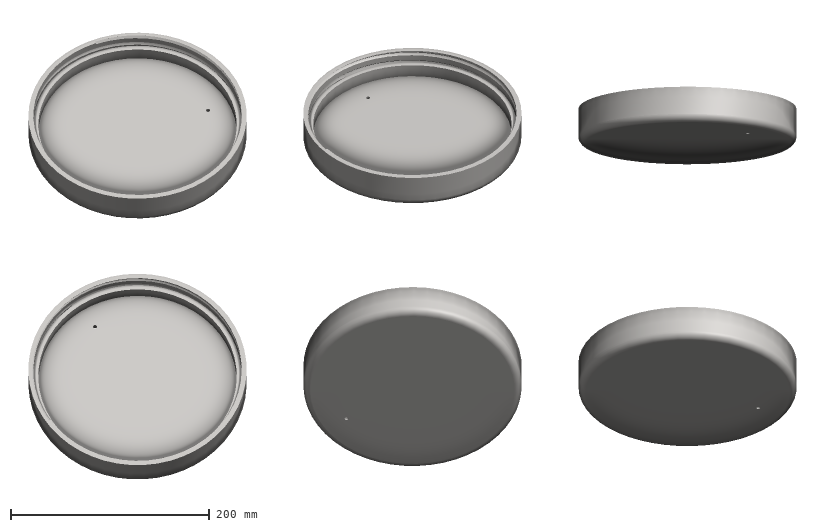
import cadquery as cq

outer_radius = 110.0
height = 35.0
base_edge_radius = 7.0

upper_bore_radius = 105.0
upper_bore_depth = 14.4
lower_bore_radius = 100.0
floor_thickness = 7.0

thread_pitch = 10.0
thread_turns = 1.5
thread_depth = 2.0
thread_mouth_width = 4.0
thread_overlap = 0.1

vent_diameter = 4.0
vent_offset_y = 77.5

ledge_z = height - upper_bore_depth
thread_height = thread_pitch * thread_turns


def make_body():
    """Round cup with a rounded base edge and a two-step bore."""
    body = cq.Workplane("XY").circle(outer_radius).extrude(height)
    body = body.faces("<Z").edges().fillet(base_edge_radius)
    upper_bore = (
        cq.Workplane("XY")
        .workplane(offset=ledge_z)
        .circle(upper_bore_radius)
        .extrude(upper_bore_depth)
    )
    lower_bore = (
        cq.Workplane("XY")
        .workplane(offset=floor_thickness)
        .circle(lower_bore_radius)
        .extrude(height - floor_thickness)
    )
    return body.cut(upper_bore).cut(lower_bore)


def make_thread_cutter():
    """V-shaped cutter that climbs along a helix from the +X side to the rim on the -X side."""
    helix = cq.Wire.makeHelix(thread_pitch, thread_height, upper_bore_radius)
    flank_slope = thread_mouth_width / 2 / thread_depth
    inner_radius = upper_bore_radius - thread_overlap
    inner_half_width = thread_mouth_width / 2 + thread_overlap * flank_slope
    root_radius = upper_bore_radius + thread_depth
    cutter = (
        cq.Workplane("XZ")
        .moveTo(inner_radius, -inner_half_width)
        .lineTo(root_radius, 0)
        .lineTo(inner_radius, inner_half_width)
        .close()
        .sweep(cq.Workplane(helix), isFrenet=True)
    )
    return cutter.translate((0, 0, height - thread_height))


def make_vent_hole():
    """Round hole through the floor, offset toward +Y."""
    return cq.Workplane("XY").center(0, vent_offset_y).circle(vent_diameter / 2).extrude(floor_thickness)


result = make_body().cut(make_thread_cutter()).cut(make_vent_hole())